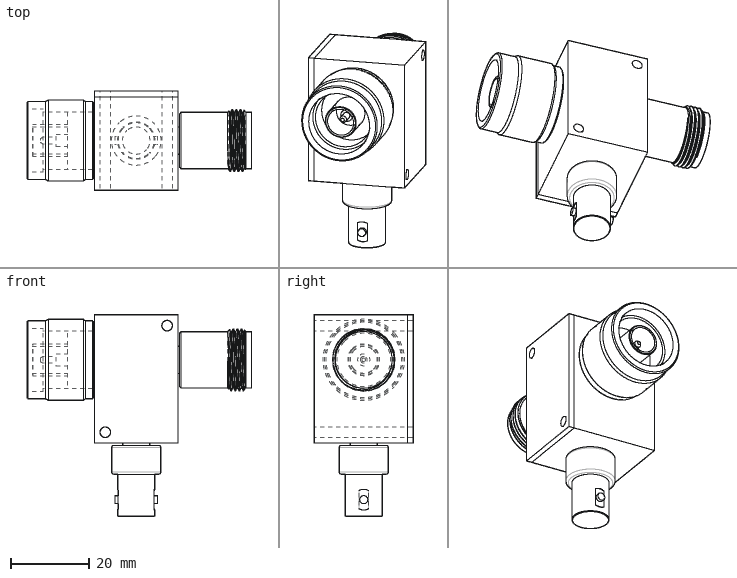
import cadquery as cq

block_width = 21.45
block_depth = 25.4
block_height = 32.9
axis_below_top = 11.55
cover_thickness = 1.55
mount_hole_radius = 1.3
mount_hole_inset = 2.8

block_left = -block_width / 2
block_right = block_width / 2
block_top = axis_below_top
block_bottom = block_top - block_height
block_front = -block_depth / 2
block_back = block_depth / 2
cover_front = block_back - cover_thickness

neck_radius = 3.5

plug_length = 17.25
plug_neck_length = 0.2
nut_radius = 10.0
nut_grip_radius = 10.4
nut_edge_chamfer = 0.35
nut_grip_start = 4.75
nut_grip_front_slope = 0.75
nut_grip_rear_slope = 0.5
nut_grip_end = 14.95
nut_mouth_radius = 8.05
nut_mouth_depth = 4.15
nut_bore_radius = 7.35
plug_floor_depth = 10.35
tube_recess = 1.45
tube_outer_radius = 4.1
tube_inner_radius = 3.45
tube_chamfer = 0.2
contact_recess = 3.45
contact_radius = 0.85
contact_tip_radius = 0.45
contact_taper_length = 0.7
contact_shoulder_radius = 1.55
contact_shoulder_length = 2.9

plug_open_end = block_left - plug_length
nut_rear = block_left - plug_neck_length
plug_floor = plug_open_end + plug_floor_depth

jack_length = 18.8
jack_neck_length = 0.35
jack_radius = 7.25
jack_chamfer = 0.4
thread_radius = 7.95
thread_pitch = 1.06
thread_root_width = 0.85
thread_crest_width = 0.2
thread_overlap = 0.05
thread_start = 12.65
thread_end = 17.35
helix_start = 11.45
helix_turns = 6.5

bayonet_neck_length = 0.5
bayonet_length = 18.75
collar_radius = 6.3
collar_length = 7.4
collar_edge_radius = 0.65
barrel_radius = 4.75
barrel_edge_chamfer = 0.2
lug_radius = 1.05
lug_reach = 5.45
lug_above_end = 4.3
lug_flat_radius = 2.65
lug_flat_reach = 4.6


def along_x(radius, x_start, x_end):
    """A cylinder on the X axis between two places."""
    return cq.Workplane("YZ").workplane(offset=x_start).circle(radius).extrude(x_end - x_start)


def revolved_on_x(points):
    """A solid of revolution about the X axis from (x, radius) points."""
    return cq.Workplane("XY").polyline(points).close().revolve(360, (0, 0, 0), (1, 0, 0))


def slab(y_start, y_end):
    """A full-size slab of the block with its two mounting holes at opposite corners."""
    hole_x = block_right - mount_hole_inset
    holes = [
        (hole_x, block_top - mount_hole_inset),
        (-hole_x, block_bottom + mount_hole_inset),
    ]
    return (
        cq.Workplane("XZ", origin=(0, y_start, 0))
        .center(0, (block_top + block_bottom) / 2)
        .rect(block_width, block_height)
        .extrude(y_start - y_end)
        .cut(
            cq.Workplane("XZ", origin=(0, y_start, 0))
            .pushPoints(holes)
            .circle(mount_hole_radius)
            .extrude(y_start - y_end)
        )
    )


def make_coupling_nut():
    grip_start = plug_open_end + nut_grip_start
    grip_end = plug_open_end + nut_grip_end
    mouth_end = plug_open_end + nut_mouth_depth
    return revolved_on_x(
        [
            (plug_open_end, nut_mouth_radius),
            (plug_open_end, nut_radius - nut_edge_chamfer),
            (plug_open_end + nut_edge_chamfer, nut_radius),
            (grip_start, nut_radius),
            (grip_start + nut_grip_front_slope, nut_grip_radius),
            (grip_end - nut_grip_rear_slope, nut_grip_radius),
            (grip_end, nut_radius),
            (nut_rear - nut_edge_chamfer, nut_radius),
            (nut_rear, nut_radius - nut_edge_chamfer),
            (nut_rear, nut_bore_radius),
            (mouth_end, nut_bore_radius),
            (mouth_end, nut_mouth_radius),
        ]
    )


def make_plug_body():
    """A flange that fills the nut bore, with the shield tube in front and the neck behind."""
    tube_end = plug_open_end + tube_recess
    return revolved_on_x(
        [
            (plug_floor, 0),
            (plug_floor, tube_inner_radius),
            (tube_end, tube_inner_radius),
            (tube_end, tube_outer_radius - tube_chamfer),
            (tube_end + tube_chamfer, tube_outer_radius),
            (plug_floor, tube_outer_radius),
            (plug_floor, nut_bore_radius),
            (nut_rear, nut_bore_radius),
            (nut_rear, neck_radius),
            (block_left, neck_radius),
            (block_left, 0),
        ]
    )


def make_plug_contact():
    tip = plug_open_end + contact_recess
    shoulder = plug_floor - contact_shoulder_length
    return revolved_on_x(
        [
            (tip, 0),
            (tip, contact_tip_radius),
            (tip + contact_taper_length, contact_radius),
            (shoulder, contact_radius),
            (shoulder, contact_shoulder_radius),
            (plug_floor, contact_shoulder_radius),
            (plug_floor, 0),
        ]
    )


def make_thread():
    """A right-hand helical ridge round the X axis, tapering to the barrel at both ends."""
    height = thread_pitch * helix_turns
    root_radius = jack_radius - thread_overlap
    path = cq.Wire.makeHelix(thread_pitch, height, root_radius)
    ridge = (
        cq.Workplane("XZ")
        .polyline(
            [
                (root_radius, -thread_root_width / 2),
                (thread_radius, -thread_crest_width / 2),
                (thread_radius, thread_crest_width / 2),
                (root_radius, thread_root_width / 2),
            ]
        )
        .close()
        .sweep(cq.Workplane(path), isFrenet=True)
        .rotate((0, 0, 0), (0, 1, 0), 90)
        .translate((block_right + helix_start, 0, 0))
    )
    start = block_right + thread_start
    end = block_right + thread_end
    half_length = (end - start) / 2
    cones = revolved_on_x(
        [
            (start, 0),
            (start, jack_radius),
            (start + half_length, jack_radius + half_length),
            (end, jack_radius),
            (end, 0),
        ]
    )
    return ridge.intersect(cones)


def make_threaded_jack():
    barrel_start = block_right + jack_neck_length
    neck = along_x(neck_radius, block_right, barrel_start)
    barrel = along_x(jack_radius, barrel_start, block_right + jack_length)
    barrel = barrel.faces("<X").chamfer(jack_chamfer)
    return neck.union(barrel).union(make_thread())


def make_bayonet_jack():
    collar_top = block_bottom - bayonet_neck_length
    collar_bottom = collar_top - collar_length
    barrel_end = block_bottom - bayonet_length
    lug_z = barrel_end + lug_above_end

    neck = cq.Workplane("XY", origin=(0, 0, block_bottom)).circle(neck_radius).extrude(-bayonet_neck_length)
    collar = cq.Workplane("XY", origin=(0, 0, collar_top)).circle(collar_radius).extrude(-collar_length)
    collar = collar.edges().fillet(collar_edge_radius)
    barrel = (
        cq.Workplane("XY", origin=(0, 0, barrel_end))
        .circle(barrel_radius)
        .extrude(collar_bottom - barrel_end)
        .faces("<Z")
        .chamfer(barrel_edge_chamfer)
    )
    for side in (1, -1):
        flat = cq.Workplane("YZ", origin=(side * lug_flat_reach, 0, lug_z))
        barrel = barrel.cut(flat.circle(lug_flat_radius).extrude(side * barrel_radius))
    lugs = cq.Workplane("YZ", origin=(0, 0, lug_z)).circle(lug_radius).extrude(lug_reach, both=True)
    return neck.union(collar).union(barrel).union(lugs)


housing = slab(block_front, cover_front)
cover = slab(cover_front, block_back)
coupling_nut = make_coupling_nut()
plug_body = make_plug_body()
plug_contact = make_plug_contact()
threaded_jack = make_threaded_jack()
bayonet_jack = make_bayonet_jack()

result = cq.Compound.makeCompound(
    [
        housing.val(),
        cover.val(),
        coupling_nut.val(),
        plug_body.val(),
        plug_contact.val(),
        threaded_jack.val(),
        bayonet_jack.val(),
    ]
)